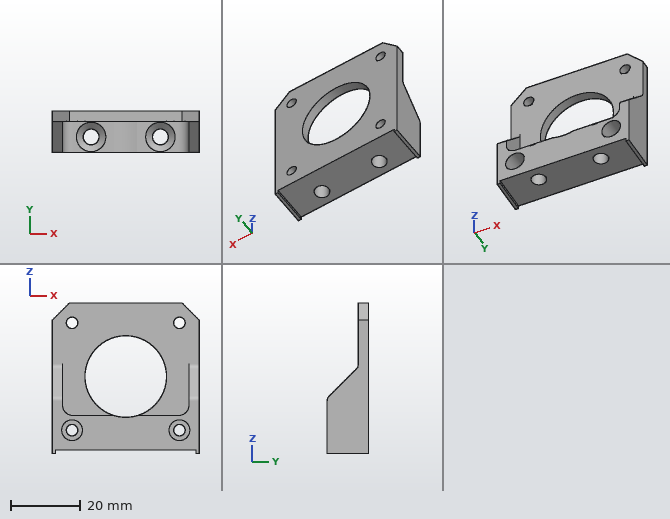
import cadquery as cq

width = 42.5
depth = 12.0
height = 43.5

plate_thickness = 3.0
corner_chamfer = 5.0
plate_front_y = depth - plate_thickness

bore_diameter = 23.5
bore_center_z = 22.25
screw_spacing = 31.0
screw_hole_diameter = 3.25
screw_head_diameter = 6.0
screw_head_depth = depth - plate_thickness

gusset_thickness = 3.0
floor_z = 11.0
floor_corner_radius = 3.0
gusset_front_z = 16.0
gusset_back_z = gusset_front_z + plate_front_y
gusset_edge_radius = 2.0

mount_spacing = 20.0
mount_y = plate_front_y / 2
mount_hole_diameter = 4.5
countersink_diameter = 8.5
countersink_angle = 90.0

lip_width = 1.0
lip_height = 1.0


def make_body():
    """Side profile swept across the full width, with the gusset bends rounded."""
    body = (
        cq.Workplane("YZ")
        .polyline([
            (0, 0),
            (depth, 0),
            (depth, height),
            (plate_front_y, height),
            (plate_front_y, gusset_back_z),
            (0, gusset_front_z),
        ])
        .close()
        .extrude(width / 2, both=True)
    )
    upper_bend = cq.selectors.NearestToPointSelector((0, plate_front_y, gusset_back_z))
    lower_bend = cq.selectors.NearestToPointSelector((0, 0, gusset_front_z))
    return body.edges(upper_bend + lower_bend).fillet(gusset_edge_radius)


def make_pocket():
    """Space between the gussets, above the base floor and in front of the plate."""
    pocket_height = height - floor_z
    return (
        cq.Workplane("XY")
        .box(width - 2 * gusset_thickness, plate_front_y, pocket_height, centered=(True, False, False))
        .translate((0, 0, floor_z))
        .edges("|Y and <Z")
        .fillet(floor_corner_radius)
    )


def y_cylinder(x, z, diameter, length):
    """Cylinder running back from the front face along +Y."""
    axis = cq.Vector(0, 1, 0)
    return cq.Workplane(cq.Solid.makeCylinder(diameter / 2, length, cq.Vector(x, 0, z), axis))


def cut_motor_pattern(body):
    """Central bore, four screw holes and head clearance for the two lower screws."""
    body = body.cut(y_cylinder(0, bore_center_z, bore_diameter, depth))
    lower_z = bore_center_z - screw_spacing / 2
    upper_z = bore_center_z + screw_spacing / 2
    for x in (-screw_spacing / 2, screw_spacing / 2):
        for z in (lower_z, upper_z):
            body = body.cut(y_cylinder(x, z, screw_hole_diameter, depth))
        body = body.cut(y_cylinder(x, lower_z, screw_head_diameter, screw_head_depth))
    return body


def cut_mount_holes(body):
    """Two countersunk holes from the floor down through the base."""
    return (
        body.copyWorkplane(cq.Workplane("XY", origin=(0, mount_y, floor_z)))
        .pushPoints([(-mount_spacing / 2, 0), (mount_spacing / 2, 0)])
        .cskHole(mount_hole_diameter, countersink_diameter, countersink_angle, depth=floor_z)
    )


def make_underside_recess():
    """Shallow recess along the full depth, leaving a lip at each side."""
    return cq.Workplane("XY").box(width - 2 * lip_width, depth, lip_height, centered=(True, False, False))


bracket = make_body()
bracket = bracket.edges("|Y and >Z").chamfer(corner_chamfer)
bracket = bracket.cut(make_pocket())
bracket = cut_mount_holes(bracket)
bracket = cut_motor_pattern(bracket)
result = bracket.cut(make_underside_recess())